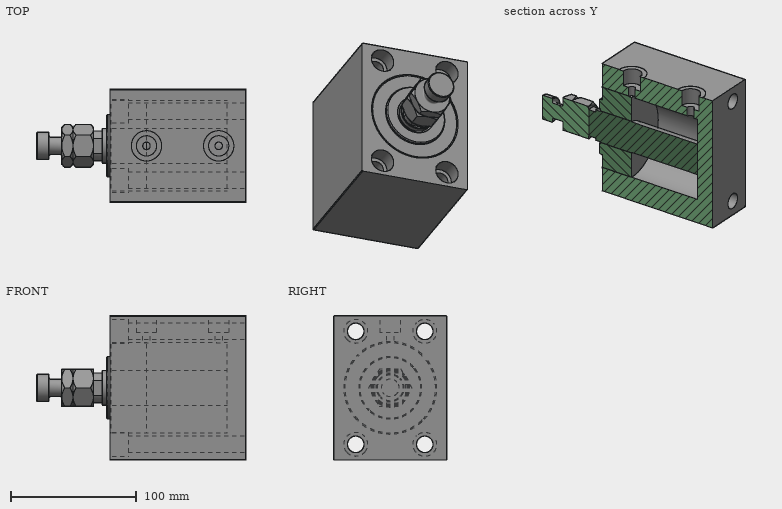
import cadquery as cq
import math


HOUSING_LENGTH = 108.2
HOUSING_WIDTH = 90.0
HOUSING_HEIGHT = 115.0
HOUSING_CHAMFER = 0.7
BORE_DIAMETER = 72.0
BORE_DEPTH = 93.2
BORE_CHAMFER = 1.0

BOLT_SPACING_Y = 55.0
BOLT_SPACING_Z = 89.9
BOLT_HOLE_DIAMETER = 13.0
COUNTERBORE_DIAMETER = 19.0
COUNTERBORE_DEPTH = 15.0

PORT_POSITIONS_X = (29.1, 86.5)
SPOTFACE_DIAMETER = 24.1
SPOTFACE_DEPTH = 0.2
PORT_DIAMETER = 16.2
PORT_DEPTH = 13.3
OIL_HOLE_DIAMETER = 6.0

GLAND_END = 29.3
GLAND_BOSS_DIAMETER = 50.0
GLAND_BOSS_HEIGHT = 2.7
GLAND_CHAMFER_LENGTH = 1.0
GLAND_CHAMFER_DEPTH = 0.8
ROD_RECESS_DIAMETER = 31.0
ROD_RECESS_DEPTH = 0.8

ROD_DIAMETER = 28.0
COLLAR_REACH = 6.3
ROD_END_REACH = 13.0
ROD_END_DIAMETER = 26.8
FLATS_WIDTH = 24.0

OVERALL_LENGTH = 166.5
HEX_WIDTH = 29.6
HEX_FACE_DIAMETER = 29.5
LONG_HEX_LENGTH = 16.3
SHORT_HEX_LENGTH = 9.0
NECK_DIAMETER = 14.0
NECK_FILLET = 1.0
HEAD_DIAMETER = 22.0
HEAD_LENGTH = 10.0
HEAD_CHAMFER = 0.7


def cylinder_x(diameter, start, end):
    """Cylinder on the X axis between two X positions."""
    return cq.Workplane("YZ", origin=(start, 0, 0)).circle(diameter / 2).extrude(end - start)


def hole_from_top(x, diameter, depth):
    """Vertical round cutter that goes down from the top face."""
    top = HOUSING_HEIGHT / 2
    return cq.Workplane("XY", origin=(x, 0, top)).circle(diameter / 2).extrude(-depth)


def make_housing():
    block = (
        cq.Workplane("XY")
        .box(HOUSING_LENGTH, HOUSING_WIDTH, HOUSING_HEIGHT)
        .translate((HOUSING_LENGTH / 2, 0, 0))
        .edges("|X")
        .chamfer(HOUSING_CHAMFER)
    )

    block = block.cut(cylinder_x(BORE_DIAMETER, 0, BORE_DEPTH))
    block = block.faces("<X").edges("%CIRCLE").chamfer(BORE_CHAMFER)

    block = (
        block.faces("<X")
        .workplane(origin=(0, 0, 0))
        .rarray(BOLT_SPACING_Y, BOLT_SPACING_Z, 2, 2)
        .cboreHole(BOLT_HOLE_DIAMETER, COUNTERBORE_DIAMETER, COUNTERBORE_DEPTH)
    )

    for x in PORT_POSITIONS_X:
        block = block.cut(hole_from_top(x, SPOTFACE_DIAMETER, SPOTFACE_DEPTH))
        block = block.cut(hole_from_top(x, PORT_DIAMETER, PORT_DEPTH))
        block = block.cut(hole_from_top(x, OIL_HOLE_DIAMETER, HOUSING_HEIGHT / 2))
    return block


def make_gland():
    boss_radius = GLAND_BOSS_DIAMETER / 2
    hole_radius = ROD_DIAMETER / 2
    section = (
        cq.Workplane("XY")
        .moveTo(GLAND_END, hole_radius)
        .lineTo(-GLAND_BOSS_HEIGHT + ROD_RECESS_DEPTH, hole_radius)
        .lineTo(-GLAND_BOSS_HEIGHT + ROD_RECESS_DEPTH, ROD_RECESS_DIAMETER / 2)
        .lineTo(-GLAND_BOSS_HEIGHT, ROD_RECESS_DIAMETER / 2)
        .lineTo(-GLAND_BOSS_HEIGHT, boss_radius - GLAND_CHAMFER_DEPTH)
        .lineTo(-GLAND_BOSS_HEIGHT + GLAND_CHAMFER_LENGTH, boss_radius)
        .lineTo(0, boss_radius)
        .lineTo(0, BORE_DIAMETER / 2)
        .lineTo(GLAND_END, BORE_DIAMETER / 2)
        .close()
    )
    return section.revolve(360, (0, 0, 0), (1, 0, 0))


def make_rod():
    collar_chamfer = (ROD_DIAMETER - ROD_END_DIAMETER) / 2
    shaft = cylinder_x(ROD_DIAMETER, -COLLAR_REACH, BORE_DEPTH).faces("<X").chamfer(collar_chamfer)
    square = (
        cq.Workplane("YZ", origin=(-ROD_END_REACH, 0, 0))
        .rect(FLATS_WIDTH, FLATS_WIDTH)
        .extrude(ROD_END_REACH - COLLAR_REACH)
    )
    rod_end = cylinder_x(ROD_END_DIAMETER, -ROD_END_REACH, -COLLAR_REACH).intersect(square)
    return shaft.union(rod_end)


def make_hex(start, length):
    """Hexagon with flats at top and bottom and 45 degree turned corners on both ends."""
    corner_diameter = HEX_WIDTH / math.cos(math.pi / 6)
    corner_chamfer = (corner_diameter - HEX_FACE_DIAMETER) / 2
    prism = cq.Workplane("YZ", origin=(start, 0, 0)).polygon(6, corner_diameter).extrude(length)
    turned = cylinder_x(corner_diameter, start, start + length).edges().chamfer(corner_chamfer)
    return prism.intersect(turned)


def make_coupling():
    long_hex_start = -ROD_END_REACH - LONG_HEX_LENGTH
    short_hex_start = long_hex_start - SHORT_HEX_LENGTH
    head_start = HOUSING_LENGTH - OVERALL_LENGTH
    head_end = head_start + HEAD_LENGTH

    head = cylinder_x(HEAD_DIAMETER, head_start, head_end).edges().chamfer(HEAD_CHAMFER)
    neck = cylinder_x(NECK_DIAMETER, head_end, short_hex_start)
    hexes = make_hex(short_hex_start, SHORT_HEX_LENGTH).union(make_hex(long_hex_start, LONG_HEX_LENGTH))

    neck_ends = cq.selectors.RadiusNthSelector(0)
    return head.union(neck).union(hexes).edges("%CIRCLE").edges(neck_ends).fillet(NECK_FILLET)


housing = make_housing()
gland = make_gland()
rod = make_rod()
coupling = make_coupling()

result = cq.Compound.makeCompound([housing.val(), gland.val(), rod.val(), coupling.val()])